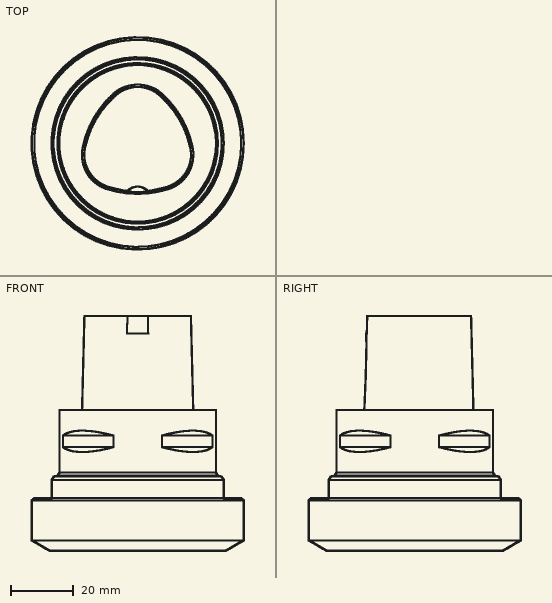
import cadquery as cq
import math

flange_radius = 67.7 / 2
flange_top = 16.9
bottom_bevel_height = 3.4
bottom_bevel_width = 5.8
flange_chamfer = 0.8
collar_radius = 55.0 / 2
collar_top = 23.7
collar_chamfer_height = 1.05
collar_chamfer_width = 0.7
body_radius = 50.0 / 2
body_top = 45.0

root_cone_width = 0.6
root_cone_bottom = 24.0
root_cone_top = 25.0

total_height = 75.0
lobe_reach = 18.75
side_reach = 16.1
lobe_radius = 11.5
shank_taper = math.degrees(math.atan(1 / 40))

notch_radius = 4.5
notch_depth = 5.6
notch_inner_y = -13.8

slot_count = 4
slot_floor_distance = 22.3
slot_floor_height = 3.7
slot_center_z = 34.95
slot_flare = 30.0
slot_outer_distance = 27.0


def polar(distance, degrees):
    angle = math.radians(degrees)
    return (distance * math.cos(angle), distance * math.sin(angle))


def make_base():
    return (
        cq.Workplane("XZ")
        .moveTo(0, 0)
        .lineTo(flange_radius - bottom_bevel_width, 0)
        .lineTo(flange_radius, bottom_bevel_height)
        .lineTo(flange_radius, flange_top - flange_chamfer)
        .lineTo(flange_radius - flange_chamfer, flange_top)
        .lineTo(collar_radius, flange_top)
        .lineTo(collar_radius, collar_top - collar_chamfer_height)
        .lineTo(collar_radius - collar_chamfer_width, collar_top)
        .lineTo(body_radius + root_cone_width, root_cone_bottom)
        .lineTo(body_radius, root_cone_top)
        .lineTo(body_radius, body_top)
        .lineTo(0, body_top)
        .close()
        .revolve(360, (0, 0), (0, 1))
    )


def make_shank():
    lobe_offset = lobe_reach - lobe_radius
    radius_gap = side_reach - lobe_radius
    side_offset = (lobe_offset**2 - radius_gap**2) / (2 * radius_gap - lobe_offset)
    side_radius = side_reach + side_offset

    lobe_x, lobe_y = polar(lobe_offset, -30)
    stretch = side_radius / (side_radius - lobe_radius)
    joint_x = lobe_x * stretch
    joint_y = side_offset + (lobe_y - side_offset) * stretch
    joint_reach = math.hypot(joint_x, joint_y)
    half_side_angle = math.degrees(math.atan2(joint_x, -joint_y))

    outline = cq.Workplane("XY", origin=(0, 0, body_top))
    outline = outline.moveTo(*polar(joint_reach, -90 - half_side_angle))
    for side_angle in (-90, 30, 150):
        outline = outline.threePointArc(
            polar(side_reach, side_angle),
            polar(joint_reach, side_angle + half_side_angle),
        )
        outline = outline.threePointArc(
            polar(lobe_reach, side_angle + 60),
            polar(joint_reach, side_angle + 120 - half_side_angle),
        )
    return outline.close().extrude(total_height - body_top, taper=shank_taper)


def make_notch():
    return (
        cq.Workplane("XY", origin=(0, 0, total_height - notch_depth))
        .center(0, notch_inner_y - notch_radius)
        .circle(notch_radius)
        .extrude(notch_depth)
    )


def make_slot(angle):
    flare_rise = (slot_outer_distance - slot_floor_distance) * math.tan(math.radians(slot_flare))
    inner_half = slot_floor_height / 2
    outer_half = inner_half + flare_rise
    return (
        cq.Workplane("XZ", origin=(0, 0, slot_center_z))
        .polyline([
            (slot_floor_distance, -inner_half),
            (slot_outer_distance, -outer_half),
            (slot_outer_distance, outer_half),
            (slot_floor_distance, inner_half),
        ])
        .close()
        .extrude(body_radius, both=True)
        .rotate((0, 0, 0), (0, 0, 1), angle)
    )


result = make_base().union(make_shank()).cut(make_notch())
for index in range(slot_count):
    result = result.cut(make_slot((index + 0.5) * 360 / slot_count))